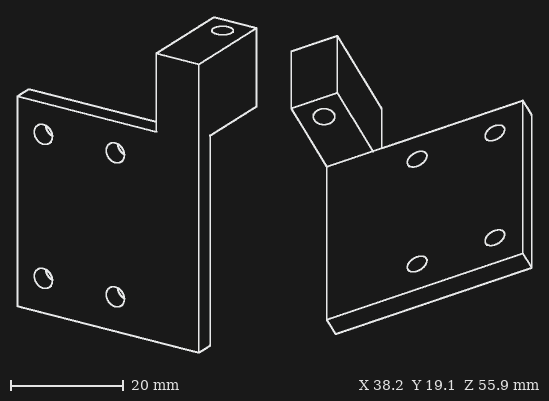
import cadquery as cq

width = 38.2
depth = 19.05
height = 55.9

plate_thickness = 3.8
block_width = 9.0
block_height = 15.2
plate_height = height - block_height

hole_diameter = 3.8
hole_columns = (5.5, 20.6)
hole_rows = (6.7, 34.6)
block_hole_to_back = 4.2


def corner_box(x_size, y_size, z_size):
    return cq.Workplane("XY").box(x_size, y_size, z_size, centered=False)


plate = corner_box(width, plate_thickness, plate_height)
block_left = width - block_width
block = corner_box(block_width, depth, block_height).translate((block_left, 0, plate_height))

mounting_holes = (
    cq.Workplane("XZ")
    .pushPoints([(x, z) for x in hole_columns for z in hole_rows])
    .circle(hole_diameter / 2)
    .extrude(-plate_thickness)
)

block_hole = (
    cq.Workplane("XY", origin=(0, 0, plate_height))
    .center(block_left + block_width / 2, depth - block_hole_to_back)
    .circle(hole_diameter / 2)
    .extrude(block_height)
)

result = plate.union(block).cut(mounting_holes).cut(block_hole)